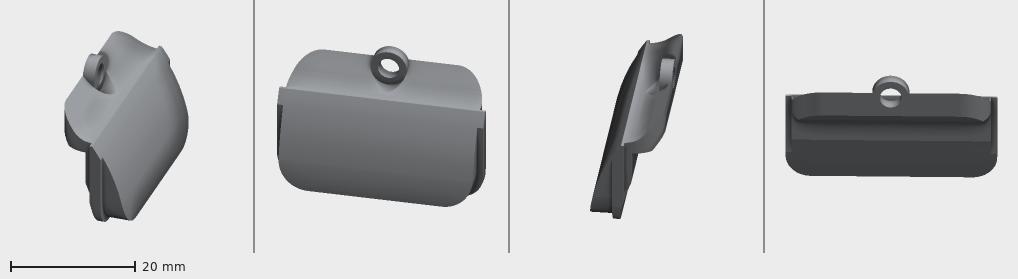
import cadquery as cq
import math

LENGTH = 34.05
EAR_STEP = 1.0
BODY_LENGTH = LENGTH - 2 * EAR_STEP

SHELF_TOP = 19.58
SHELF_EDGE_BOTTOM = 15.3
SHELF_UNDERSIDE = 13.45
UNDERSIDE_START = 1.75
LIP_TOP = 15.35
LIP_TOP_OUTER = 6.5
LIP_BACK = 5.0
LIP_BACK_BOTTOM = 7.83
LIP_TIP_INNER = 6.9
LIP_TIP_OUTER = 11.92
OUTER_RADIUS = 29.0
INNER_RADIUS = 24.0
VALLEY_RADIUS = 5.0

SHELF_CORNER_RADIUS = 5.0
LIP_CORNER_RADIUS = 5.0
EAR_CORNER_RADIUS = 4.0

EAR_BACK = 6.05
EAR_FRONT = 7.97

EYE_RADIUS = 3.0
EYE_CENTER_Z = 18.65
EYE_THICKNESS = 2.0
EYE_HOLE_DIAMETER = 3.5


def profile(length):
    """Side profile extruded to a total length along Y, centred on Y = 0."""
    valley_drop = VALLEY_RADIUS * (1 - math.cos(math.radians(45)))
    valley_run = VALLEY_RADIUS * math.sin(math.radians(45))
    valley_start_z = LIP_TOP + valley_drop
    valley_start_x = SHELF_TOP - valley_start_z
    valley_end_x = valley_start_x + valley_run
    return (
        cq.Workplane("XZ")
        .moveTo(0, SHELF_TOP)
        .lineTo(valley_start_x, valley_start_z)
        .radiusArc((valley_end_x, LIP_TOP), -VALLEY_RADIUS)
        .lineTo(LIP_TOP_OUTER, LIP_TOP)
        .radiusArc((LIP_TIP_OUTER, 0), OUTER_RADIUS)
        .lineTo(LIP_TIP_INNER, 0)
        .radiusArc((LIP_BACK, LIP_BACK_BOTTOM), -INNER_RADIUS)
        .lineTo(LIP_BACK, SHELF_UNDERSIDE)
        .lineTo(UNDERSIDE_START, SHELF_UNDERSIDE)
        .lineTo(0, SHELF_EDGE_BOTTOM)
        .close()
        .extrude(length / 2, both=True)
    )


def slab(x_start, x_end, length):
    """Full-height block standing on Z = 0 and centred on Y = 0."""
    return (
        cq.Workplane("XY", origin=(x_start, 0, 0))
        .box(x_end - x_start, length, SHELF_TOP, centered=(False, True, False))
    )


def x_cylinder(radius, x_start, x_end):
    """Cylinder along X on the axis of the hanging eye."""
    return (
        cq.Workplane("YZ", origin=(x_start, 0, EYE_CENTER_Z))
        .circle(radius)
        .extrude(x_end - x_start)
    )


shelf_limit = slab(0, EAR_BACK, BODY_LENGTH).edges("|Z and <X").fillet(SHELF_CORNER_RADIUS)

ear_limit = slab(EAR_BACK, EAR_FRONT, LENGTH).edges("|X and <Z").fillet(EAR_CORNER_RADIUS)
front_limit = slab(EAR_FRONT, LIP_TIP_OUTER, BODY_LENGTH).edges("|X and <Z").fillet(LIP_CORNER_RADIUS)

body = profile(LENGTH).intersect(shelf_limit.union(ear_limit).union(front_limit))

eye = x_cylinder(EYE_RADIUS, 0, EYE_THICKNESS)
clearance = x_cylinder(EYE_RADIUS, EYE_THICKNESS, LIP_TIP_OUTER)
eye_hole = x_cylinder(EYE_HOLE_DIAMETER / 2, 0, EYE_THICKNESS)

result = body.cut(clearance).union(eye).cut(eye_hole)